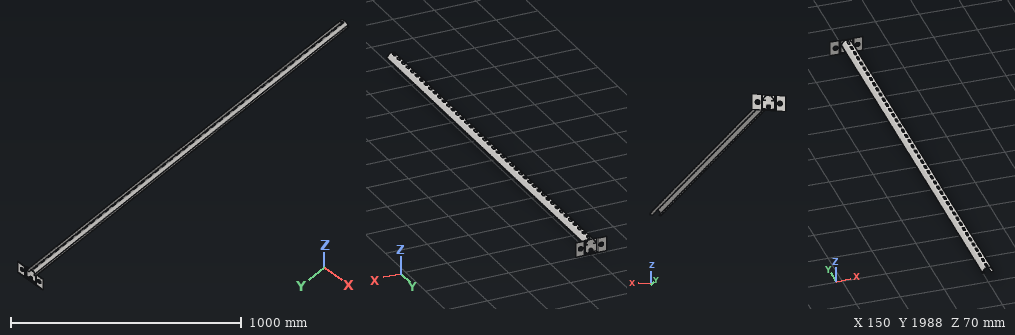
import cadquery as cq
import math

total_length = 1988.0
plate_width = 150.0
plate_height = 70.0
back_y = total_length / 2
top_z = plate_height / 2

plate_thickness = 4.0
panel_rise = 4.0
panel_rim_width = 66.0
panel_rim_depth = 68.0
panel_slope_run = 5.6
wall_hole_diameter = 14.0
wall_sink_diameter = 22.0
wall_hole_spacing = 100.0
center_hole_z = -18.0
center_hole_diameter = 17.0
dimple_depth = 1.0
dimple_rim_radius = 21.0
dimple_floor_radius = 17.7

slot_pitch = 45.0
slot_count = 44
first_slot_offset = 21.6
slot_length = 25.0
slot_width = 9.0
rail_length = slot_count * slot_pitch
sheet = 2.0
rail_height = 25.2
shoulder_half = 12.0
shoulder_radius = 5.0
flank_lean = math.radians(36.9)
lip_inner_half = 14.0
foot_radius = 4.3

panel_front_y = back_y - plate_thickness - panel_rise
rail_end_y = panel_front_y - rail_length
wall_sink_taper = math.degrees(
    math.atan2((wall_sink_diameter - wall_hole_diameter) / 2, plate_thickness)
)
panel_taper = math.degrees(math.atan2(panel_slope_run, panel_rise))


def panel_form(base_y):
    """Tapered block whose rim lies at base_y and which rises toward -Y."""
    overrun = 2 * panel_slope_run
    height = panel_rim_depth + overrun
    center_z = top_z + overrun - height / 2
    return (
        cq.Workplane("XZ", origin=(0, base_y, center_z))
        .rect(panel_rim_width, height)
        .extrude(panel_rise, taper=panel_taper)
    )


def dimple_form(face_y):
    """Shallow cone with its rim at face_y, sinking toward +Y around the center hole."""
    return (
        cq.Workplane("XZ", origin=(0, face_y, center_hole_z))
        .circle(dimple_rim_radius)
        .workplane(offset=-dimple_depth)
        .circle(dimple_floor_radius)
        .loft(ruled=True)
    )


def make_head_plate():
    plate_front_y = back_y - plate_thickness
    sheet_blank = (
        cq.Workplane("XZ", origin=(0, back_y, 0))
        .rect(plate_width, plate_height)
        .extrude(plate_thickness)
    )
    envelope = (
        cq.Workplane("XZ", origin=(0, back_y, 0))
        .rect(plate_width, plate_height)
        .extrude(plate_thickness + panel_rise)
    )
    raised = sheet_blank.union(panel_form(plate_front_y)).cut(panel_form(back_y))
    dimple_back = dimple_form(panel_front_y + plate_thickness).intersect(panel_form(back_y))
    pressed = raised.union(dimple_back).cut(dimple_form(panel_front_y)).intersect(envelope)
    wall_holes = (
        cq.Workplane("XZ", origin=(0, plate_front_y, 0))
        .pushPoints([(-wall_hole_spacing / 2, 0), (wall_hole_spacing / 2, 0)])
        .circle(wall_sink_diameter / 2)
        .extrude(-plate_thickness, taper=wall_sink_taper)
    )
    center_hole = (
        cq.Workplane("XZ", origin=(0, back_y, center_hole_z))
        .circle(center_hole_diameter / 2)
        .extrude(plate_thickness + panel_rise)
    )
    return pressed.cut(wall_holes).cut(center_hole)


def inner_side(points, distance):
    """Mitred parallel of an open polyline, on the right of its direction of travel."""
    normals = []
    for (x0, z0), (x1, z1) in zip(points, points[1:]):
        length = math.hypot(x1 - x0, z1 - z0)
        normals.append(((z1 - z0) / length, (x0 - x1) / length))
    before = normals[:1] + normals
    after = normals + normals[-1:]
    shifted = []
    for (x, z), (ax, az), (bx, bz) in zip(points, before, after):
        reach = distance / (1 + ax * bx + az * bz)
        shifted.append((x + reach * (ax + bx), z + reach * (az + bz)))
    return shifted


def make_rail():
    bottom_z = top_z - rail_height
    foot_corner_half = shoulder_half + rail_height * math.tan(flank_lean)
    right_half = [
        (shoulder_half, top_z),
        (foot_corner_half, bottom_z),
        (lip_inner_half, bottom_z),
    ]
    left_half = [(-x, z) for x, z in reversed(right_half)]
    outer = left_half + right_half
    inner = inner_side(outer, sheet)
    section = outer + inner[::-1]
    rail = cq.Workplane("XZ", origin=(0, panel_front_y, 0)).polyline(section).close().extrude(rail_length)

    mid_y = panel_front_y - rail_length / 2
    bends = [(2, shoulder_radius), (1, foot_radius)]
    for place, outer_radius in bends:
        for surface, radius in ((outer, outer_radius), (inner, outer_radius - sheet)):
            x, z = surface[-1 - place]
            for side in (-1, 1):
                bend_edge = cq.selectors.NearestToPointSelector((side * x, mid_y, z))
                rail = rail.edges(bend_edge).fillet(radius)

    slot_row_middle_y = rail_end_y + first_slot_offset + (slot_count - 1) * slot_pitch / 2
    slots = (
        cq.Workplane("XY", origin=(0, slot_row_middle_y, top_z - sheet))
        .rarray(1, slot_pitch, 1, slot_count)
        .slot2D(slot_length, slot_width, 90)
        .extrude(sheet)
    )
    return rail.cut(slots)


head_plate = make_head_plate()
rail = make_rail()
result = cq.Compound.makeCompound([head_plate.val(), rail.val()])